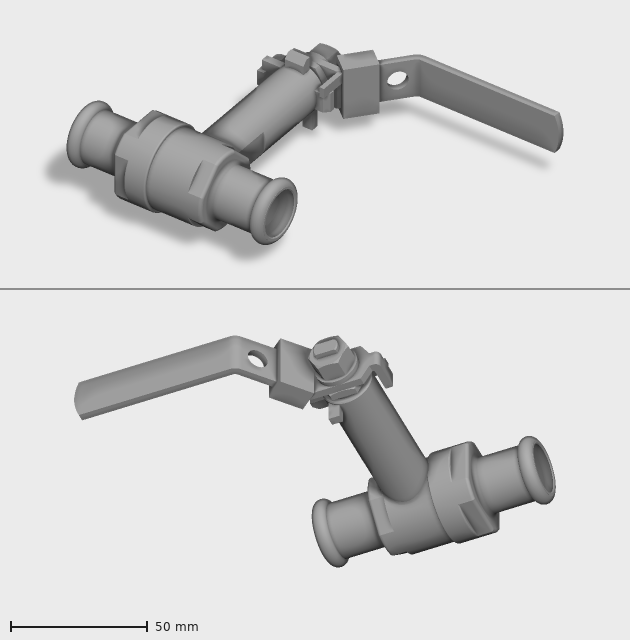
import cadquery as cq
import math


left_end = -48.6
right_end = 39.5
tube_dia = 21.5
bore_dia = 15.0
mouth_dia = 18.5
mouth_chamfer = 0.5
seal_crest_depth = 2.3
seal_crest_dia = 21.6
seal_end_depth = 3.9
seal_end_dia = 20.1
bore_depth = 5.8
bead_dia = 26.0
bead_width = 6.0
neck_fillet = 1.6

nut_left = -24.7
flange_left = -18.4
flange_right = -9.0
flange_middle = (flange_left + flange_right) / 2
flange_dia = 35.0
nut_across_flats = 30.0
flange_edge_fillet = 0.6
housing_right = 15.2
housing_dia = 32.5
housing_flats_left = 8.9
housing_across_flats = 29.6
end_fillet = 1.3

shaft_dia = 20.1
shaft_top = 69.8
shaft_fillet = 1.5
shaft_chamfer = 0.5
spacer_dia = 16.0
spacer_top = 71.2
jam_nut_corners = 20.0
plate_thickness = 3.0
plate_bottom = 74.4
plate_top = plate_bottom + plate_thickness
washer_dia = 16.8
washer_top = 79.5
handle_nut_corners = 16.3
handle_nut_top = 87.5
stud_dia = 9.8
stud_top = 89.7
stud_across_flats = 5.3
stud_chamfer = 0.5
nut_crown_angle = 30

peg_top = 68.8
short_peg_height = 3.3
short_peg_low = 3.3
short_peg_high = 7.6
peg_reach = 15.0
peg_width = 8.3
peg_inner = 5.8
tall_peg_height = 4.0
tall_peg_chamfer = 2.0

lever_width = 16.8
lever_right = 95.2
lever_top = 101.0
lever_slope = 50
lever_bend_inner = 2.0
lever_bend_outer = lever_bend_inner + plate_thickness
lever_tip_rise = 1.9
tab_left = -16.1
tab_bottom = 64.0
tab_width = 6.5
tab_bend_inner = 0.7
tab_bend_outer = 2.0
taper_start = -12.4
taper_end = -8.9
lever_hole_dia = 8.0
lever_hole_height = 93.0

sleeve_x = 16.7
sleeve_y = 81.8
sleeve_length = 13.8
sleeve_thickness = 9.3
sleeve_width = 22.3
latch_left = 12.5
latch_right = 14.5
latch_bottom = 63.1
latch_low = 3.9
latch_high = 8.2


def run_cylinder(diameter, x_start, x_end):
    """Cylinder on the X axis."""
    return cq.Workplane("YZ", origin=(x_start, 0, 0)).circle(diameter / 2).extrude(x_end - x_start)


def run_square(across_flats, x_start, x_end):
    """Square bar on the X axis."""
    plane = cq.Workplane("YZ", origin=(x_start, 0, 0))
    return plane.rect(across_flats, across_flats).extrude(x_end - x_start)


def stem_plane(y):
    """Plane across the stem, facing +Y."""
    return cq.Workplane(cq.Plane(origin=(0, y, 0), xDir=(1, 0, 0), normal=(0, 1, 0)))


def stem_cylinder(diameter, y_start, y_end):
    """Cylinder on the Y axis."""
    return stem_plane(y_start).circle(diameter / 2).extrude(y_end - y_start)


def box(x_range, y_range, z_range):
    """Box given by its lower and upper limit along each axis."""
    sizes = [high - low for low, high in (x_range, y_range, z_range)]
    return cq.Workplane("XY").box(*sizes, centered=False).translate((x_range[0], y_range[0], z_range[0]))


def bead(x_start):
    """Half-round press bead at one end of the tube."""
    radius = bead_width / 2
    shoulder = bead_dia / 2 - radius
    return (
        cq.Workplane("XY")
        .moveTo(x_start, 0)
        .lineTo(x_start, shoulder)
        .threePointArc((x_start + radius, bead_dia / 2), (x_start + bead_width, shoulder))
        .lineTo(x_start + bead_width, 0)
        .close()
        .revolve(360, (0, 0, 0), (1, 0, 0))
    )


def hex_nut(across_corners, y_start, y_end, crown_both_ends):
    """Hexagon with corners on the X axis, crowned at its top and optionally at its base."""
    nut = stem_plane(y_start).polygon(6, across_corners).extrude(y_end - y_start)
    corner = across_corners / 2
    flat = corner * math.cos(math.pi / 6)
    drop = (corner - flat) * math.tan(math.radians(nut_crown_angle))
    crown = cq.Workplane("XY").moveTo(0, y_start)
    if crown_both_ends:
        crown = crown.lineTo(flat, y_start).lineTo(corner, y_start + drop)
    else:
        crown = crown.lineTo(corner, y_start)
    crown = crown.lineTo(corner, y_end - drop).lineTo(flat, y_end).lineTo(0, y_end).close()
    return nut.intersect(crown.revolve(360, (0, 0, 0), (0, 1, 0)))


def union_nut():
    """Flanged nut with four wrench flats on its left part."""
    flange = run_cylinder(flange_dia, flange_left, flange_right).edges().fillet(flange_edge_fillet)
    square = run_square(nut_across_flats, nut_left, flange_middle)
    nut = run_cylinder(flange_dia, nut_left, flange_middle).intersect(square)
    return nut.faces("<X").edges().fillet(end_fillet).union(flange)


def housing():
    """Ball housing blended into the stem shaft, with four diagonal wrench flats."""
    shaft = stem_cylinder(shaft_dia, 0, shaft_top).faces(">Y").chamfer(shaft_chamfer)
    body = run_cylinder(housing_dia, flange_left, housing_right).union(shaft)
    saddle = cq.selectors.NearestToPointSelector((0, housing_dia / 2, shaft_dia / 2))
    body = body.edges(saddle).fillet(shaft_fillet)
    outside = (-housing_dia, housing_dia)
    blank = box((housing_flats_left, housing_right), outside, outside)
    square = run_square(housing_across_flats, housing_flats_left, housing_right)
    body = body.cut(blank.cut(square.rotate((0, 0, 0), (1, 0, 0), 45)))
    return body.faces(">X").edges().fillet(end_fillet)


def neck_flare(x_face, direction):
    """Concave blend from the face at x_face to the tube, which leaves in the given direction."""
    tube_radius = tube_dia / 2
    x_tube = x_face + direction * neck_fillet
    sag = neck_fillet * (1 - math.sqrt(0.5))
    return (
        cq.Workplane("XY")
        .moveTo(x_face, bore_dia / 2)
        .lineTo(x_face, tube_radius + neck_fillet)
        .threePointArc((x_face + direction * sag, tube_radius + sag), (x_tube, tube_radius))
        .lineTo(x_tube, bore_dia / 2)
        .close()
        .revolve(360, (0, 0, 0), (1, 0, 0))
    )


def stem_stack():
    """Spacer, jam nut, washer, handle nut and flatted stud end."""
    stud = stem_cylinder(stud_dia, shaft_top, stud_top).faces(">Y").chamfer(stud_chamfer)
    half_flats = stud_across_flats / 2
    stud_flats = box((-stud_dia, stud_dia), (shaft_top, stud_top), (-half_flats, half_flats))
    return (
        stem_cylinder(spacer_dia, shaft_top, spacer_top)
        .union(hex_nut(jam_nut_corners, spacer_top, plate_bottom, False))
        .union(stem_cylinder(washer_dia, plate_top, washer_top))
        .union(hex_nut(handle_nut_corners, washer_top, handle_nut_top, True))
        .union(stud.intersect(stud_flats))
    )


def stop_pegs():
    """Two tall chamfered pegs and two short ones, mirrored about the diagonal X = Z."""
    half = peg_width / 2
    tall = box((-half, half), (peg_top - tall_peg_height, peg_top), (peg_inner, peg_reach))
    tall = tall.edges(">Z and <Y").chamfer(tall_peg_chamfer)
    short_y = (peg_top - short_peg_height, peg_top)
    return (
        tall.union(tall.rotate((0, 0, 0), (0, 1, 0), 90))
        .union(box((-peg_reach, -peg_inner), short_y, (short_peg_low, short_peg_high)))
        .union(box((short_peg_low, short_peg_high), short_y, (-peg_reach, -peg_inner)))
    )


def lever():
    """Flat strip: hooked tab, plate on the stem, sloped arm and straight grip."""
    slope = math.radians(lever_slope)
    rise_per_x = math.tan(slope)
    miter = plate_thickness * math.tan(slope / 2)
    half_shift = plate_thickness / 2 / math.sin(slope)

    def upper_face_x(y):
        return sleeve_x + (y - sleeve_y) / rise_per_x - half_shift

    low_bend = upper_face_x(plate_top)
    high_bend = upper_face_x(lever_top)
    strip = (
        cq.Workplane("XY", origin=(0, 0, -lever_width / 2))
        .moveTo(tab_left, tab_bottom)
        .lineTo(tab_left, plate_top)
        .lineTo(low_bend, plate_top)
        .lineTo(high_bend, lever_top)
        .lineTo(lever_right, lever_top)
        .lineTo(lever_right, lever_top - plate_thickness)
        .lineTo(high_bend + miter, lever_top - plate_thickness)
        .lineTo(low_bend + miter, plate_bottom)
        .lineTo(tab_left + plate_thickness, plate_bottom)
        .lineTo(tab_left + plate_thickness, tab_bottom)
        .close()
        .extrude(lever_width)
    )

    bends = (
        (tab_left, plate_top, tab_bend_outer),
        (tab_left + plate_thickness, plate_bottom, tab_bend_inner),
        (high_bend, lever_top, lever_bend_outer),
        (high_bend + miter, lever_top - plate_thickness, lever_bend_inner),
    )
    for x, y, radius in bends:
        strip = strip.edges(cq.selectors.NearestToPointSelector((x, y, 0))).fillet(radius)

    half = lever_width / 2
    tab_half = tab_width / 2
    tip_start = lever_right - lever_tip_rise
    outline = (
        stem_plane(tab_bottom)
        .moveTo(tab_left, tab_half)
        .lineTo(taper_start, tab_half)
        .lineTo(taper_end, half)
        .lineTo(tip_start, half)
        .threePointArc((lever_right, 0), (tip_start, -half))
        .lineTo(taper_end, -half)
        .lineTo(taper_start, -tab_half)
        .lineTo(tab_left, -tab_half)
        .close()
        .extrude(lever_top - tab_bottom)
    )
    hole_axis = cq.Plane(
        origin=(sleeve_x + (lever_hole_height - sleeve_y) / rise_per_x, lever_hole_height, 0),
        xDir=(0, 0, 1),
        normal=(-math.sin(slope), math.cos(slope), 0),
    )
    hole = cq.Workplane(hole_axis).circle(lever_hole_dia / 2).extrude(plate_thickness, both=True)
    return strip.intersect(outline).cut(hole)


def locking_sleeve():
    """Sleeve around the arm with a latch tongue reaching down beside the shaft."""
    sleeve = (
        cq.Workplane("XY")
        .box(sleeve_length, sleeve_thickness, sleeve_width)
        .rotate((0, 0, 0), (0, 0, 1), lever_slope)
        .translate((sleeve_x, sleeve_y, 0))
    )
    latch = box((latch_left, latch_right), (latch_bottom, plate_top), (latch_low, latch_high))
    return sleeve.union(latch)


def socket(x_end, direction):
    """Mouth with a hollow seal groove inside the bead, then a cone; direction leads inward."""

    def at(depth, diameter):
        return (x_end + direction * depth, diameter / 2)

    return (
        cq.Workplane("XY")
        .moveTo(x_end, 0)
        .lineTo(*at(0, mouth_dia + 2 * mouth_chamfer))
        .lineTo(*at(mouth_chamfer, mouth_dia))
        .threePointArc(at(seal_crest_depth, seal_crest_dia), at(seal_end_depth, seal_end_dia))
        .lineTo(*at(bore_depth, bore_dia))
        .lineTo(*at(bore_depth, 0))
        .close()
        .revolve(360, (0, 0, 0), (1, 0, 0))
    )


def bore():
    """Through bore with a sealing socket at each end."""
    passage = run_cylinder(bore_dia, left_end, right_end)
    return passage.union(socket(left_end, 1)).union(socket(right_end, -1))


result = (
    housing()
    .union(union_nut())
    .union(run_cylinder(tube_dia, left_end, right_end))
    .union(neck_flare(nut_left, -1))
    .union(neck_flare(housing_right, 1))
    .union(bead(left_end))
    .union(bead(right_end - bead_width))
    .cut(bore())
    .union(stem_stack())
    .union(stop_pegs())
    .union(lever())
    .union(locking_sleeve())
)